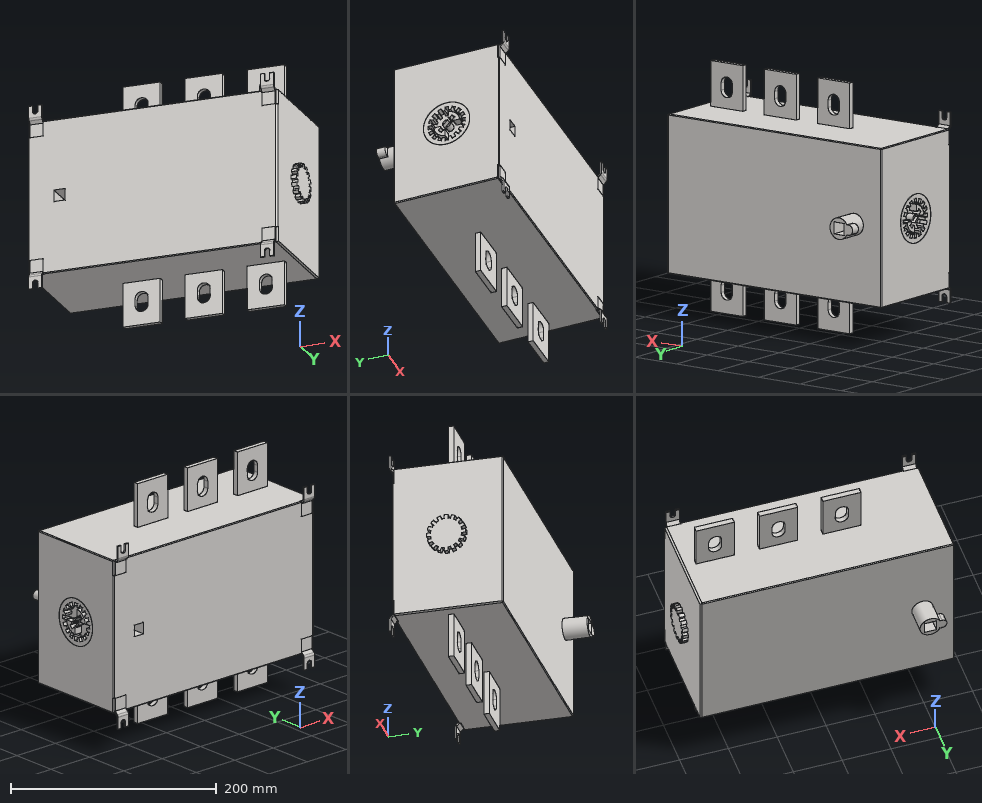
import cadquery as cq
import math

HOUSING_X = 260.5
HOUSING_Y = 111.7
HOUSING_Z = 159.0
EDGE_CHAMFER = 0.93
COUPLING_FACE_CHAMFER = 2.0
LEFT = -HOUSING_X / 2
RIGHT = HOUSING_X / 2
FRONT = -HOUSING_Y / 2
BACK = HOUSING_Y / 2
TOP = HOUSING_Z / 2

BAR_COUNT = 3
BAR_PITCH = 65.0
MIDDLE_BAR_X = LEFT + 162.5
BAR_WIDTH = 39.0
BAR_THICKNESS = 5.5
BAR_LENGTH = 250.0
BAR_HOLE_WIDTH = 13.3
BAR_HOLE_LENGTH = 20.5
BAR_HOLE_FROM_END = 24.2
BAR_HOLE_Z = BAR_LENGTH / 2 - BAR_HOLE_FROM_END

SHAFT_X = LEFT + 32.7
BOSS_DIAMETER = 21.5
BOSS_LENGTH = 25.3
POINTER_WIDTH = 10.0
POINTER_LENGTH = 9.3
POINTER_REACH = 16.8
SQUARE_HOLE = 12.0

TOOTH_COUNT = 16
TOOTH_TIP_RADIUS = 19.7
TOOTH_ROOT_RADIUS = 16.0
TOOTH_WIDTH = 3.7
PLUG_LENGTH = 5.5
SOCKET_DEPTH = 8.8
RIM_RADIUS = 24.5
RIM_DEPTH = 0.3

DISC_RADIUS = 4.3
QUADRANT_INNER_RADIUS = 7.0
QUADRANT_OUTER_RADIUS = 13.8
QUADRANT_OFFSET = 1.5
ISLAND_SLOT_WIDTH = 4.3
ISLAND_SLOT_LENGTH = 20.2

FOOT_WIDTH = 13.8
FOOT_THICKNESS = 1.9
FOOT_STEP = 4.0
PAD_HEIGHT = 15.7
TAB_HEIGHT = 15.7
BEND_ABOVE_TOP = 1.5
BEND_BELOW_TOP = 2.5
BEND_RADIUS = 3.5
FOOT_SLOT_WIDTH = 5.5
FOOT_SLOT_DEPTH = 8.5
FOOT_INSET_LEFT = 1.9
FOOT_INSET_RIGHT = 2.7
FOOT_X = [LEFT + FOOT_INSET_LEFT + FOOT_WIDTH / 2, RIGHT - FOOT_INSET_RIGHT - FOOT_WIDTH / 2]


def make_side_outline(plane, height):
    """Lengthwise outline of the block, with all four corners cut."""
    half = height / 2
    end_half = half - EDGE_CHAMFER
    corners = [
        (LEFT + EDGE_CHAMFER, -half),
        (RIGHT - COUPLING_FACE_CHAMFER, -half),
        (RIGHT, -end_half),
        (RIGHT, end_half),
        (RIGHT - COUPLING_FACE_CHAMFER, half),
        (LEFT + EDGE_CHAMFER, half),
        (LEFT, end_half),
        (LEFT, -end_half),
    ]
    return cq.Workplane(plane).polyline(corners).close()


def make_block():
    """Block with chamfered edges: the lengthwise edges first, then both ends."""
    block = cq.Workplane().box(HOUSING_X, HOUSING_Y, HOUSING_Z)
    block = block.edges("|X").chamfer(EDGE_CHAMFER)
    plan = make_side_outline("XY", HOUSING_Y).extrude(HOUSING_Z, both=True)
    elevation = make_side_outline("XZ", HOUSING_Z).extrude(HOUSING_Y, both=True)
    return block.intersect(plan).intersect(elevation)


def make_bar(x):
    bar = cq.Workplane().box(BAR_WIDTH, BAR_THICKNESS, BAR_LENGTH)
    holes = (
        cq.Workplane("XZ")
        .pushPoints([(0, BAR_HOLE_Z), (0, -BAR_HOLE_Z)])
        .slot2D(BAR_HOLE_LENGTH, BAR_HOLE_WIDTH, 90)
        .extrude(BAR_THICKNESS, both=True)
    )
    return bar.cut(holes).translate((x, 0, 0))


def make_boss():
    tip_radius = POINTER_WIDTH / 2
    tip_centre = SHAFT_X - POINTER_REACH + tip_radius
    boss_end = cq.Workplane("XZ", origin=(0, BACK + BOSS_LENGTH, 0))
    boss = boss_end.center(SHAFT_X, 0).circle(BOSS_DIAMETER / 2).extrude(BOSS_LENGTH)
    pointer = (
        boss_end.moveTo(SHAFT_X, tip_radius)
        .lineTo(tip_centre, tip_radius)
        .threePointArc((tip_centre - tip_radius, 0), (tip_centre, -tip_radius))
        .lineTo(SHAFT_X, -tip_radius)
        .close()
        .extrude(POINTER_LENGTH)
    )
    return boss.union(pointer)


def make_square_hole():
    length = HOUSING_Y + BOSS_LENGTH
    hole = cq.Workplane().box(SQUARE_HOLE, length, SQUARE_HOLE)
    return hole.translate((SHAFT_X, BOSS_LENGTH / 2, 0))


def make_gear(start_x, length):
    """Toothed disc along X, from start_x toward +X."""
    plane = cq.Workplane("YZ", origin=(start_x, 0, 0))
    gear = plane.circle(TOOTH_ROOT_RADIUS).extrude(length)
    tooth = plane.center(TOOTH_TIP_RADIUS / 2, 0).rect(TOOTH_TIP_RADIUS, TOOTH_WIDTH).extrude(length)
    for i in range(TOOTH_COUNT):
        gear = gear.union(tooth.rotate((0, 0, 0), (1, 0, 0), i * 360 / TOOTH_COUNT))
    return gear


def make_islands(start_x, length):
    """Centre disc and two opposite quadrants, with a diagonal slot across all three."""
    plane = cq.Workplane("YZ", origin=(start_x, 0, 0))
    islands = plane.circle(DISC_RADIUS).extrude(length)
    ring = plane.circle(QUADRANT_OUTER_RADIUS).circle(QUADRANT_INNER_RADIUS).extrude(length)
    for side in (1, -1):
        centre = side * (QUADRANT_OFFSET + QUADRANT_OUTER_RADIUS / 2)
        corner = plane.center(-centre, centre).rect(QUADRANT_OUTER_RADIUS, QUADRANT_OUTER_RADIUS)
        islands = islands.union(ring.intersect(corner.extrude(length)))
    slot = plane.rect(ISLAND_SLOT_LENGTH, ISLAND_SLOT_WIDTH).extrude(length)
    return islands.cut(slot.rotate((0, 0, 0), (1, 0, 0), -45))


def make_socket():
    rim = cq.Workplane("YZ", origin=(LEFT, 0, 0)).circle(RIM_RADIUS).extrude(RIM_DEPTH)
    socket = make_gear(LEFT, SOCKET_DEPTH)
    islands = make_islands(LEFT + RIM_DEPTH, SOCKET_DEPTH - RIM_DEPTH)
    return socket.union(rim).cut(islands)


def make_foot_recesses():
    """Corner recesses that hold the pads and run out through the housing sides."""
    depth = FOOT_THICKNESS
    widths = [FOOT_INSET_LEFT + FOOT_WIDTH, FOOT_INSET_RIGHT + FOOT_WIDTH]
    centres = [LEFT + widths[0] / 2, RIGHT - widths[1] / 2]
    recesses = cq.Workplane()
    for x, width in zip(centres, widths):
        for side in (1, -1):
            recess = cq.Workplane().box(width, depth, PAD_HEIGHT)
            place = (x, FRONT + depth / 2, side * (TOP - PAD_HEIGHT / 2))
            recesses = recesses.add(recess.translate(place))
    return recesses.combine()


def make_housing():
    housing = make_block().union(make_boss()).union(make_gear(RIGHT, PLUG_LENGTH))
    for i in range(BAR_COUNT):
        offset = i - (BAR_COUNT - 1) / 2
        housing = housing.union(make_bar(MIDDLE_BAR_X + offset * BAR_PITCH))
    return housing.cut(make_square_hole()).cut(make_socket()).cut(make_foot_recesses())


def make_foot(x, side):
    """Z-bent strip with an open slot; side is 1 at the top edge and -1 at the bottom."""
    tab_front = FRONT - FOOT_STEP
    tab_back = tab_front + FOOT_THICKNESS
    pad_back = FRONT + FOOT_THICKNESS
    rise = BEND_ABOVE_TOP + BEND_BELOW_TOP
    half_angle = math.atan2(FOOT_STEP, rise) / 2
    corner_shift = FOOT_THICKNESS * math.tan(half_angle)
    bend_top = TOP + BEND_ABOVE_TOP
    bend_bottom = TOP - BEND_BELOW_TOP
    profile = [
        (FRONT, TOP - PAD_HEIGHT),
        (FRONT, bend_bottom),
        (tab_front, bend_top),
        (tab_front, TOP + TAB_HEIGHT),
        (tab_back, TOP + TAB_HEIGHT),
        (tab_back, bend_top + corner_shift),
        (pad_back, bend_bottom + corner_shift),
        (pad_back, TOP - PAD_HEIGHT),
    ]
    foot = cq.Workplane("YZ").polyline(profile).close().extrude(FOOT_WIDTH / 2, both=True)
    outer_bend = cq.selectors.NearestToPointSelector((0, tab_front, bend_top))
    foot = foot.edges(outer_bend).fillet(BEND_RADIUS)
    slot_radius = FOOT_SLOT_WIDTH / 2
    slot_end = TOP + TAB_HEIGHT
    slot_centre = slot_end - FOOT_SLOT_DEPTH + slot_radius
    slot = (
        cq.Workplane("XZ", origin=(0, tab_back, 0))
        .moveTo(-slot_radius, slot_end)
        .lineTo(-slot_radius, slot_centre)
        .threePointArc((0, slot_centre - slot_radius), (slot_radius, slot_centre))
        .lineTo(slot_radius, slot_end)
        .close()
        .extrude(FOOT_THICKNESS)
    )
    foot = foot.cut(slot)
    if side < 0:
        foot = foot.mirror("XY")
    return foot.translate((x, 0, 0))


housing = make_housing()
feet = [make_foot(x, side).solids().val() for x in FOOT_X for side in (1, -1)]

result = cq.Compound.makeCompound([housing.solids().val(), *feet])